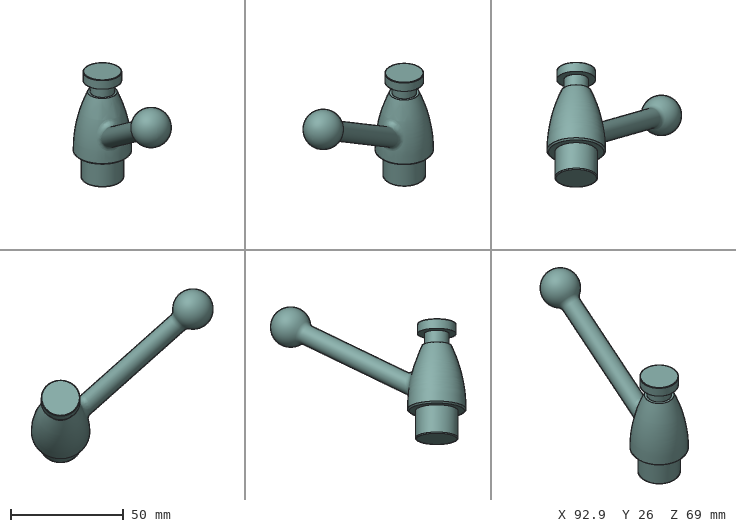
import cadquery as cq
import math

stub_diameter = 19.0
stub_height = 13.0
stub_chamfer = 0.5
body_diameter = 26.0
body_top_diameter = 13.2
body_top_z = 42.9
body_bottom_chamfer = 0.7
neck_diameter = 11.0
cap_diameter = 17.2
cap_bottom_z = 48.6
cap_top_z = 53.15
cap_chamfer = 0.3

overall_length = 92.9
overall_height = 69.0
ball_diameter = 18.0
arm_diameter = 9.0
arm_angle = 30.0
hub_fillet = 2.8
ball_fillet = 3.3

ball_radius = ball_diameter / 2
ball_x = overall_length - body_diameter / 2 - ball_radius
ball_z = overall_height - ball_radius
arm_start_z = ball_z - ball_x * math.tan(math.radians(arm_angle))
arm_length = ball_x / math.cos(math.radians(arm_angle))


def make_stub():
    stub = cq.Workplane("XY").circle(stub_diameter / 2).extrude(stub_height)
    return stub.faces("<Z").chamfer(stub_chamfer)


def make_barrel():
    """Barrel whose side is an arc that leaves the bottom rim vertically."""
    radius = body_diameter / 2
    top_radius = body_top_diameter / 2
    rim_z = stub_height + body_bottom_chamfer
    rise = body_top_z - rim_z
    inset = radius - top_radius
    side_radius = (rise**2 + inset**2) / (2 * inset)
    half_angle = math.asin(rise / side_radius) / 2
    arc_middle = (
        radius - side_radius * (1 - math.cos(half_angle)),
        rim_z + side_radius * math.sin(half_angle),
    )
    return (
        cq.Workplane("XZ")
        .moveTo(0, stub_height)
        .lineTo(radius - body_bottom_chamfer, stub_height)
        .lineTo(radius, rim_z)
        .threePointArc(arc_middle, (top_radius, body_top_z))
        .lineTo(0, body_top_z)
        .close()
        .revolve(360, (0, 0, 0), (0, 1, 0))
    )


def make_neck():
    height = cap_bottom_z - body_top_z
    return cq.Workplane("XY").workplane(offset=body_top_z).circle(neck_diameter / 2).extrude(height)


def make_cap():
    height = cap_top_z - cap_bottom_z
    cap = cq.Workplane("XY").workplane(offset=cap_bottom_z).circle(cap_diameter / 2).extrude(height)
    return cap.faces(">Z").chamfer(cap_chamfer)


def make_lever():
    """Arm, ball and the concave neck between them, revolved as one profile.

    The lever is made upright on the Z axis, then tilted and lifted into place.
    """
    arm_radius = arm_diameter / 2
    fillet_x = arm_radius + ball_fillet
    fillet_back = math.sqrt((ball_radius + ball_fillet) ** 2 - fillet_x**2)
    fillet_y = arm_length - fillet_back
    sweep = math.atan2(fillet_back, fillet_x)
    fillet_middle = (
        fillet_x - ball_fillet * math.cos(sweep / 2),
        fillet_y + ball_fillet * math.sin(sweep / 2),
    )
    fillet_end = (
        fillet_x - ball_fillet * math.cos(sweep),
        fillet_y + ball_fillet * math.sin(sweep),
    )
    profile = (
        cq.Workplane("XZ")
        .lineTo(arm_radius, 0)
        .lineTo(arm_radius, fillet_y)
        .threePointArc(fillet_middle, fillet_end)
        .threePointArc((ball_radius, arm_length), (0, arm_length + ball_radius))
        .close()
    )
    lever = profile.revolve(360, (0, 0, 0), (0, 1, 0))
    lever = lever.rotate((0, 0, 0), (0, 1, 0), 90 - arm_angle)
    return lever.translate((0, 0, arm_start_z))


barrel_and_lever = make_barrel().union(make_lever())
body_radius = body_diameter / 2
seam_box = cq.selectors.BoxSelector(
    (body_top_diameter / 2, -body_radius, stub_height + 2 * body_bottom_chamfer),
    (body_radius, body_radius, body_top_z),
)
barrel_and_lever = barrel_and_lever.edges(seam_box).fillet(hub_fillet)

result = barrel_and_lever.union(make_stub()).union(make_neck()).union(make_cap())